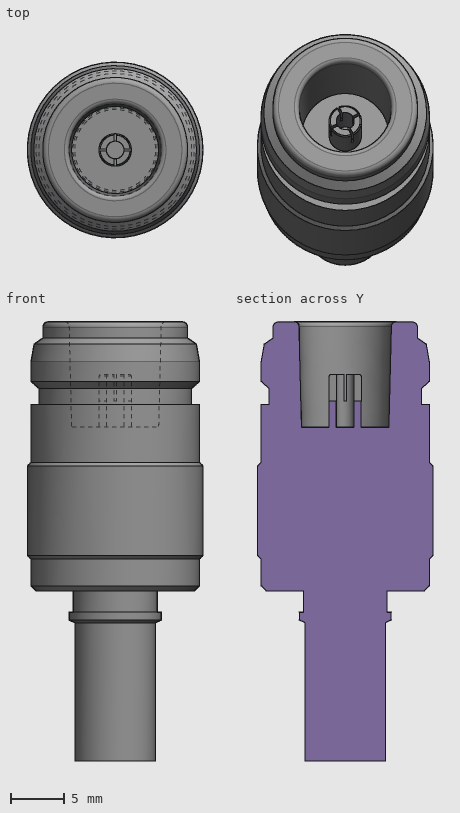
import cadquery as cq

total_height = 41.3

nose_radius = 6.8
shoulder_radius = 7.65
body_radius = 7.95
groove_radius = 7.2
grip_radius = 8.25
neck_radius = 3.95
collar_radius = 4.35
tube_radius = 3.8

collar_bottom = 13.0
collar_chamfer_height = 0.25
collar_top = 14.0
body_bottom = 16.0
body_chamfer = 0.5
grip_bottom = 19.0
grip_top = 28.1
groove_bottom = 33.55
groove_top = 35.02
thread_bottom = 35.7
taper_bottom = 37.55
shoulder_top = 39.2
nose_bottom = 39.77
nose_fillet = 0.55

mouth_radius = 4.35
mouth_fillet = 0.45
socket_floor_radius = 4.1
socket_depth = 9.9

contact_radius = 1.53
contact_bore_radius = 0.83
contact_recess = 4.95
contact_chamfer = 0.12
slot_width = 0.2

socket_floor = total_height - socket_depth
grip_chamfer = grip_radius - body_radius


def outer_body():
    profile = [
        (0, 0),
        (tube_radius, 0),
        (tube_radius, collar_bottom),
        (collar_radius, collar_bottom + collar_chamfer_height),
        (collar_radius, collar_top),
        (neck_radius, collar_top),
        (neck_radius, body_bottom),
        (body_radius - body_chamfer, body_bottom),
        (body_radius, body_bottom + body_chamfer),
        (body_radius, grip_bottom),
        (grip_radius, grip_bottom + grip_chamfer),
        (grip_radius, grip_top - grip_chamfer),
        (body_radius, grip_top),
        (body_radius, groove_bottom),
        (groove_radius, groove_bottom),
        (groove_radius, groove_top),
        (body_radius, thread_bottom),
        (body_radius, taper_bottom),
        (shoulder_radius, shoulder_top),
        (nose_radius, nose_bottom),
        (nose_radius, total_height),
        (0, total_height),
    ]
    body = cq.Workplane("XZ").polyline(profile).close().revolve(360, (0, 0), (0, 1))
    return body.faces(">Z").edges().fillet(nose_fillet)


def socket():
    """Tapered bore, narrowing from the mouth to the floor."""
    return (
        cq.Workplane("XZ")
        .moveTo(0, socket_floor)
        .lineTo(socket_floor_radius, socket_floor)
        .lineTo(mouth_radius, total_height)
        .lineTo(0, total_height)
        .close()
        .revolve(360, (0, 0), (0, 1))
    )


def centre_contact():
    """Hollow pin split into four fingers by two crossing slots."""
    height = socket_depth - contact_recess
    base = cq.Workplane("XY").workplane(offset=socket_floor)
    contact = base.circle(contact_radius).circle(contact_bore_radius).extrude(height)
    outer_rim = cq.selectors.RadiusNthSelector(-1)
    contact = contact.faces(">Z").edges(outer_rim).chamfer(contact_chamfer)
    slot_base = base.workplane(offset=height / 2)
    slot_length = 2 * contact_radius
    for angle in (0, 90):
        slot = slot_base.transformed(rotate=(0, 0, angle)).rect(slot_length, slot_width).extrude(height / 2)
        contact = contact.cut(slot)
    return contact


shell = outer_body().cut(socket())
mouth_edge = cq.selectors.RadiusNthSelector(0)
shell = shell.faces(">Z").edges(mouth_edge).fillet(mouth_fillet)
result = shell.union(centre_contact())